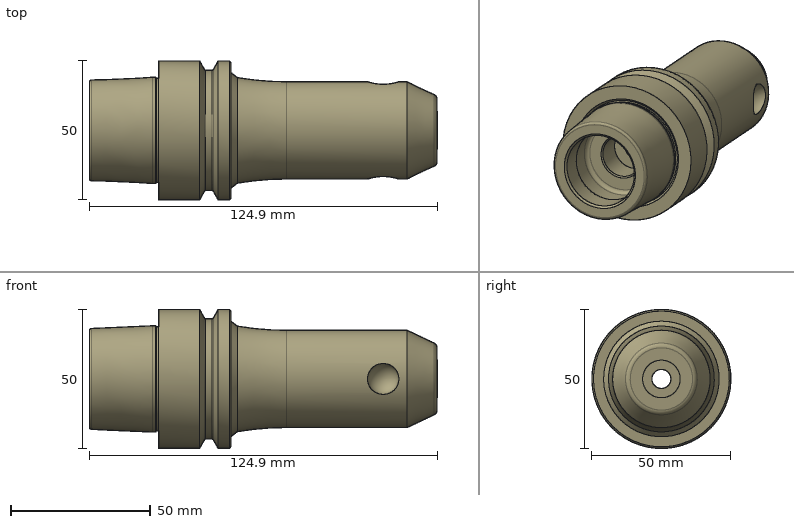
import cadquery as cq
import math

total_length = 124.9
sleeve_overhang = 0.1
holder_length = total_length - sleeve_overhang

taper_start_radius = 18.1
taper_end_radius = 19.1
taper_end_x = 22.6
taper_nose_fillet = 0.9
collar_end_x = 23.7
neck_radius = 18.7
neck_step = taper_end_radius - neck_radius

flange_radius = 25.0
flange_start_x = 24.9
flange_end_x = 50.8
face_recess_radius = 19.4
face_recess_chamfer = 0.7
groove_start_x = 39.6
groove_end_x = 46.2
groove_radius = 21.6
groove_slope_length = 1.9
groove_fillet = 0.5
flange_edge_chamfer = 0.6

shank_radius = 17.5
root_cone_radius = 20.7
root_end_radius = 19.0
root_end_x = 53.1
flare_end_x = 70.8
tip_start_x = 114.0
tip_end_radius = 12.4
tip_fillet = 1.9

bore_radius = 13.1
mouth_chamfer = 0.7
bore_land_end_x = 9.2
chamber_radius = 13.9
chamber_shoulder_angle = 45.0
chamber_floor_x = 20.0
chamber_floor_radius = 12.4

coolant_seat_radius = 7.5
coolant_seat_chamfer = 0.5
coolant_seat_depth = 11.2
passage_radius = 3.4

dimple_x = 105.4
dimple_radius = 5.6
dimple_center_radius = 17.6

sleeve_radius = 6.7
sleeve_length = 50.0
sleeve_start_x = total_length - sleeve_length


def turned(outline):
    """Turn a closed outline, drawn as X against radius, into a solid about the X axis."""
    return outline.close().revolve(360, (0, 0, 0), (1, 0, 0))


def cylinder_along_x(start_x, end_x, radius):
    return cq.Workplane("YZ").workplane(offset=start_x).circle(radius).extrude(end_x - start_x)


def arc_point_on_flare():
    """Middle point of the flare arc, which runs tangentially into the straight shank."""
    length = flare_end_x - root_end_x
    rise = root_end_radius - shank_radius
    arc_radius = (length**2 + rise**2) / (2 * rise)
    half_angle = math.asin(length / arc_radius) / 2
    return (
        flare_end_x - arc_radius * math.sin(half_angle),
        shank_radius + arc_radius * (1 - math.cos(half_angle)),
    )


def holder_outside():
    outline = (
        cq.Workplane("XZ")
        .lineTo(0, taper_start_radius)
        .lineTo(taper_end_x, taper_end_radius)
        .lineTo(collar_end_x, taper_end_radius)
        .lineTo(collar_end_x + neck_step, neck_radius)
        .lineTo(flange_start_x + face_recess_chamfer, neck_radius)
        .lineTo(flange_start_x + face_recess_chamfer, face_recess_radius)
        .lineTo(flange_start_x, face_recess_radius + face_recess_chamfer)
        .lineTo(flange_start_x, flange_radius)
        .lineTo(flange_end_x - flange_edge_chamfer, flange_radius)
        .lineTo(flange_end_x, flange_radius - flange_edge_chamfer)
        .lineTo(flange_end_x, root_cone_radius)
        .lineTo(root_end_x, root_end_radius)
        .threePointArc(arc_point_on_flare(), (flare_end_x, shank_radius))
        .lineTo(tip_start_x, shank_radius)
        .lineTo(holder_length, tip_end_radius)
        .lineTo(holder_length, 0)
    )
    body = turned(outline)
    body = body.faces("<X").edges().fillet(taper_nose_fillet)
    return body.faces(">X").edges().fillet(tip_fillet)


def gripper_groove():
    """Ring that leaves a groove with sloping sides and rounded bottom corners."""
    ring = turned(
        cq.Workplane("XZ")
        .moveTo(groove_start_x, flange_radius)
        .lineTo(groove_start_x + groove_slope_length, groove_radius)
        .lineTo(groove_end_x - groove_slope_length, groove_radius)
        .lineTo(groove_end_x, flange_radius)
    )
    bottom_corners = cq.selectors.RadiusNthSelector(0)
    return ring.edges(bottom_corners).fillet(groove_fillet)


def clamping_bore():
    shoulder_length = (chamber_radius - bore_radius) / math.tan(math.radians(chamber_shoulder_angle))
    floor_round = chamber_radius - chamber_floor_radius
    round_start = (chamber_floor_x - floor_round, chamber_radius)
    round_end = (chamber_floor_x, chamber_floor_radius)
    return turned(
        cq.Workplane("XZ")
        .lineTo(0, bore_radius + mouth_chamfer)
        .lineTo(mouth_chamfer, bore_radius)
        .lineTo(bore_land_end_x, bore_radius)
        .lineTo(bore_land_end_x + shoulder_length, chamber_radius)
        .lineTo(*round_start)
        .tangentArcPoint(round_end, relative=False)
        .lineTo(chamber_floor_x, 0)
    )


def coolant_seat():
    return turned(
        cq.Workplane("XZ")
        .moveTo(chamber_floor_x, 0)
        .lineTo(chamber_floor_x, coolant_seat_radius + coolant_seat_chamfer)
        .lineTo(chamber_floor_x + coolant_seat_chamfer, coolant_seat_radius)
        .lineTo(chamber_floor_x + coolant_seat_depth, coolant_seat_radius)
        .lineTo(chamber_floor_x + coolant_seat_depth, 0)
    )


def side_dimple(side):
    return cq.Workplane("XZ").sphere(dimple_radius).translate((dimple_x, side * dimple_center_radius, 0))


def make_holder():
    body = holder_outside()
    body = body.cut(gripper_groove())
    body = body.cut(clamping_bore())
    body = body.cut(coolant_seat())
    body = body.cut(cylinder_along_x(chamber_floor_x, holder_length, passage_radius))
    body = body.cut(cylinder_along_x(sleeve_start_x, holder_length, sleeve_radius))
    for side in (-1, 1):
        body = body.cut(side_dimple(side))
    return body


def make_sleeve():
    outside = cylinder_along_x(sleeve_start_x, total_length, sleeve_radius)
    return outside.cut(cylinder_along_x(sleeve_start_x, total_length, passage_radius))


holder = make_holder()
sleeve = make_sleeve()

result = cq.Compound.makeCompound([holder.solids().val(), sleeve.solids().val()])